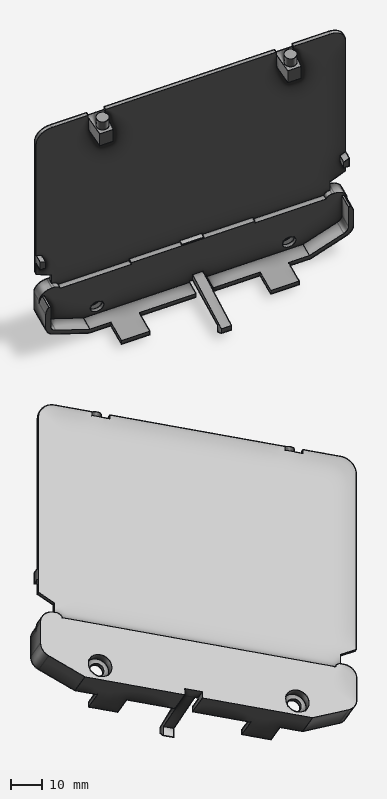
import cadquery as cq
import math


panel_x = 1.2
panel_thickness = 1.3
panel_back_x = panel_x + panel_thickness
panel_half_width = 54.3
panel_top_z = 99.3
panel_corner_radius = 5.5
panel_waist_half_width = 48.9
panel_waist_z = 26.0
panel_shoulder_z = 28.9
panel_root_z = 10.0

pivot_y = 33.0
pivot_block_top_z = 97.9
pivot_block_height = 5.9
pivot_block_end_x = 10.1
pivot_root_half_width = 3.05
pivot_end_half_width = 2.35
pin_x = 7.0
pin_diameter = 4.2
pin_top_z = 101.8

stop_end_x = 5.5
stop_width = 2.0
stop_top_z = 38.4
stop_bottom_z = 34.4

base_half_width = 54.05
base_floor_half_width = 38.9
base_slope_top_z = 6.6
base_lower_radius = 4.6
corner_search = 1.5
base_wall_thickness = 4.3
base_depth = 9.5
base_top_z = 21.9
base_saddle_z = 20.4
base_shoulder_radius = 4.5
base_crest_width = 0.8
saddle_round_radius = 2.25
rim_thickness = 1.8
rim_top_z = 19.4
rim_arc_start_z = 16.4

ridge_half_width = 21.7
ridge_height = 0.8
wedge_half_width = 3.9
wedge_end_x = 4.0
wedge_root_height = 0.6
wedge_end_height = 0.3

tongue_y = 26.2
tongue_width = 10.0
tongue_end_x = 18.0

screw_y = 33.7
screw_z = 5.2
screw_diameter = 4.7
counterbore_diameter = 8.0
counterbore_depth = 3.0

hook_y = 1.6
hook_width = 3.6
hook_end_x = 27.2
hook_root_top_z = 5.1
hook_end_top_z = 2.85
hook_root_bottom_z = 2.3
hook_bottom_z = 1.4
hook_barb_x = 24.0
hook_barb_tip = 0.3
hook_barb_z = -1.8
hook_nose_z = 0.6
notch_y = 1.75
notch_width = 6.0
notch_height = 2.3


def extrude_x(profile, x_start, x_end):
    """Extrude a closed (y, z) profile from x_start to x_end."""
    return profile.extrude(x_end - x_start).translate((x_start, 0, 0))


def box(x_range, y_range, z_range):
    """Box spanning the given (low, high) ranges."""
    size = [high - low for low, high in (x_range, y_range, z_range)]
    return cq.Workplane("XY").box(*size, centered=False).translate((x_range[0], y_range[0], z_range[0]))


def make_panel():
    half_outline = [
        (0, panel_top_z),
        (panel_half_width, panel_top_z),
        (panel_half_width, panel_shoulder_z),
        (panel_waist_half_width, panel_waist_z),
        (panel_waist_half_width, panel_root_z),
        (0, panel_root_z),
    ]
    half = extrude_x(cq.Workplane("YZ").polyline(half_outline).close(), panel_x, panel_back_x)
    half = half.edges("|X and >Y and >Z").fillet(panel_corner_radius)
    return half.union(half.mirror("XZ"))


def make_pivot_notch(y):
    return box(
        (panel_x, panel_back_x),
        (y - pivot_root_half_width, y + pivot_root_half_width),
        (pivot_block_top_z, panel_top_z),
    )


def make_pivot(y):
    block = (
        cq.Workplane("XY")
        .polyline([
            (panel_x, y - pivot_root_half_width),
            (pivot_block_end_x, y - pivot_end_half_width),
            (pivot_block_end_x, y + pivot_end_half_width),
            (panel_x, y + pivot_root_half_width),
        ])
        .close()
        .extrude(pivot_block_height)
        .translate((0, 0, pivot_block_top_z - pivot_block_height))
    )
    pin = (
        cq.Workplane("XY", origin=(pin_x, y, pivot_block_top_z))
        .circle(pin_diameter / 2)
        .extrude(pin_top_z - pivot_block_top_z)
    )
    return block.union(pin)


def make_stop():
    """Side stop whose top slopes inward, parallel to the shoulder edge of the panel."""
    inner_y = panel_half_width - stop_width
    edge_slope = (panel_shoulder_z - panel_waist_z) / (panel_half_width - panel_waist_half_width)
    stop_slope_drop = stop_width * edge_slope
    profile = cq.Workplane("YZ").polyline([
        (panel_half_width, stop_bottom_z),
        (panel_half_width, stop_top_z),
        (inner_y, stop_top_z - stop_slope_drop),
        (inner_y, stop_bottom_z),
    ]).close()
    return extrude_x(profile, panel_x, stop_end_x)


def round_lower_corner(half_plate, radius, side_y):
    """Round the corner between the side and the slanted underside."""
    corner = cq.selectors.BoxSelector(
        (0, side_y - corner_search, base_slope_top_z - corner_search),
        (base_depth, side_y + corner_search, base_slope_top_z + corner_search),
    )
    return half_plate.edges("|X").edges(corner).fillet(radius)


def make_front_wall():
    """Half of the thick wall, with a rounded shoulder dropping to a lower saddle."""
    crest_outer_y = base_half_width - base_shoulder_radius
    crest_inner_y = crest_outer_y - base_crest_width
    saddle_drop = base_top_z - base_saddle_z
    round_angle = math.acos(1 - saddle_drop / saddle_round_radius)
    diagonal = base_shoulder_radius * math.sqrt(0.5)
    shoulder_z = base_top_z - base_shoulder_radius
    saddle_mid = (
        crest_inner_y - saddle_round_radius * math.sin(round_angle / 2),
        base_top_z - saddle_round_radius * (1 - math.cos(round_angle / 2)),
    )
    saddle_end = (crest_inner_y - saddle_round_radius * math.sin(round_angle), base_saddle_z)
    profile = (
        cq.Workplane("YZ")
        .moveTo(0, 0)
        .lineTo(base_floor_half_width, 0)
        .lineTo(base_half_width, base_slope_top_z)
        .lineTo(base_half_width, shoulder_z)
        .threePointArc((crest_outer_y + diagonal, shoulder_z + diagonal), (crest_outer_y, base_top_z))
        .lineTo(crest_inner_y, base_top_z)
        .threePointArc(saddle_mid, saddle_end)
        .lineTo(0, base_saddle_z)
        .close()
    )
    wall = extrude_x(profile, 0, base_wall_thickness)
    return round_lower_corner(wall, base_lower_radius, base_half_width)


def make_rim():
    """Half of the thin rim: flat floor, slanted floor and side lip."""
    slope_angle = math.atan2(base_slope_top_z, base_half_width - base_floor_half_width)
    inner_side_y = base_half_width - rim_thickness
    inner_floor_y = base_floor_half_width - rim_thickness * math.tan(slope_angle / 2)
    inner_slope_top_z = rim_thickness + (inner_side_y - inner_floor_y) * math.tan(slope_angle)

    lip_angle = math.asin((rim_top_z - rim_arc_start_z) / base_shoulder_radius)
    arc_center_y = base_half_width - base_shoulder_radius

    def lip_point(angle):
        y = arc_center_y + base_shoulder_radius * math.cos(angle)
        return y, rim_arc_start_z + base_shoulder_radius * math.sin(angle)

    outer = (
        cq.Workplane("YZ")
        .moveTo(0, 0)
        .lineTo(base_floor_half_width, 0)
        .lineTo(base_half_width, base_slope_top_z)
        .lineTo(base_half_width, rim_arc_start_z)
        .threePointArc(lip_point(lip_angle / 2), lip_point(lip_angle))
        .lineTo(0, rim_top_z)
        .close()
    )
    inner = cq.Workplane("YZ").polyline([
        (0, rim_thickness),
        (inner_floor_y, rim_thickness),
        (inner_side_y, inner_slope_top_z),
        (inner_side_y, rim_top_z),
        (0, rim_top_z),
    ]).close()
    outer = round_lower_corner(extrude_x(outer, 0, base_depth), base_lower_radius, base_half_width)
    inner = extrude_x(inner, base_wall_thickness, base_depth)
    inner = round_lower_corner(inner, base_lower_radius - rim_thickness, inner_side_y)
    behind_wall = box((base_wall_thickness, base_depth), (0, base_half_width), (0, rim_top_z))
    return outer.cut(inner).intersect(behind_wall)


def make_base():
    half = make_front_wall().union(make_rim())
    tongue = box(
        (base_wall_thickness, tongue_end_x),
        (tongue_y - tongue_width / 2, tongue_y + tongue_width / 2),
        (0, rim_thickness),
    )
    half = half.union(tongue)
    return half.union(half.mirror("XZ"))


def make_backing_ridge():
    ridge_top_z = base_saddle_z + ridge_height
    ridge = box(
        (panel_back_x, base_wall_thickness),
        (-ridge_half_width, ridge_half_width),
        (base_saddle_z, ridge_top_z),
    )
    wedge = (
        cq.Workplane("XZ")
        .polyline([
            (panel_back_x, ridge_top_z),
            (wedge_end_x, ridge_top_z),
            (wedge_end_x, ridge_top_z + wedge_end_height),
            (panel_back_x, ridge_top_z + wedge_root_height),
        ])
        .close()
        .extrude(wedge_half_width, both=True)
    )
    return ridge.union(wedge)


def make_screw_hole(y):
    hole = cq.Workplane("YZ").center(y, screw_z).circle(screw_diameter / 2)
    counterbore = cq.Workplane("YZ").center(y, screw_z).circle(counterbore_diameter / 2)
    return hole.extrude(base_wall_thickness).union(counterbore.extrude(counterbore_depth))


def make_hook_notch():
    return box(
        (0, base_depth),
        (notch_y - notch_width / 2, notch_y + notch_width / 2),
        (0, notch_height),
    )


def make_hook():
    return (
        cq.Workplane("XZ")
        .polyline([
            (base_wall_thickness, hook_root_top_z),
            (hook_end_x, hook_end_top_z),
            (hook_end_x, hook_nose_z),
            (hook_barb_x + hook_barb_tip, hook_barb_z),
            (hook_barb_x, hook_barb_z),
            (hook_barb_x, hook_bottom_z),
            (base_wall_thickness, hook_root_bottom_z),
        ])
        .close()
        .extrude(hook_width / 2, both=True)
        .translate((0, hook_y, 0))
    )


def make_part():
    panel = make_panel()
    for y in (-pivot_y, pivot_y):
        panel = panel.cut(make_pivot_notch(y)).union(make_pivot(y))
    stop = make_stop()
    panel = panel.union(stop).union(stop.mirror("XZ"))

    base = make_base().cut(make_hook_notch())
    part = base.union(make_hook()).union(panel).union(make_backing_ridge())
    for y in (-screw_y, screw_y):
        part = part.cut(make_screw_hole(y))
    return part


result = make_part()